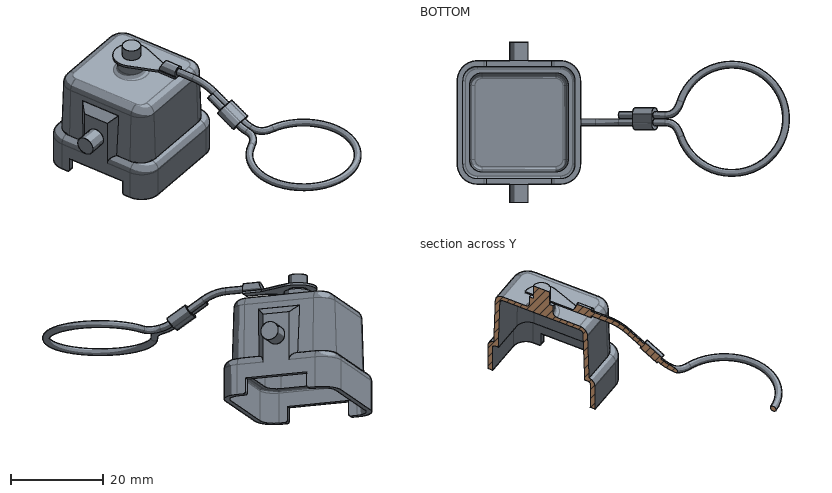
import cadquery as cq
import math

SKIRT_HALF = 13.4
SKIRT_CORNER_RADIUS = 4.4
SKIRT_HEIGHT = 8.5
SKIRT_EDGE_RADIUS = 1.8
CAP_HALF = 11.95
CAP_CORNER_RADIUS = 3.95
CAP_TOP = 22.5
CAP_DRAFT = 1.8
CAP_EDGE_RADIUS = 2.0
WALL = 1.2

NOTCH_HALF = 7.05
NOTCH_HEIGHT = 3.5
NOTCH_FOOT_RADIUS = 0.5

PAD_HALF = 3.0
PAD_TOP = 17.4
PAD_BOTTOM = SKIRT_HEIGHT - SKIRT_EDGE_RADIUS
PAD_BEVEL = 1.7
PAD_ROOT = 0.2
PIN_DIAMETER = 4.0
PIN_HEIGHT = 12.45
PIN_SPAN = 34.8

BOSS_DIAMETER = 6.0
BOSS_TOP = 25.4
BOSS_FLARE = 0.95
STUD_TOP = 29.0

TAB_DIAMETER = 8.15
TAB_RADIUS = TAB_DIAMETER / 2
TAB_BOTTOM = 26.0
TAB_THICKNESS = 0.5
FERRULE_DIAMETER = 2.5
FERRULE_START = 8.0
FERRULE_TOP_START = 8.85
FERRULE_END = 12.4
FERRULE_AXIS_Z = TAB_BOTTOM + FERRULE_DIAMETER / 2

CORD_DIAMETER = 1.5
CORD_SPACING = 1.6
BEND_START_X = 16.6
BEND_RADIUS = 10.4
SLOPE = 31
SLOPE_LENGTH = 8.8
DIP_RADIUS = 6.8
DIP_EXIT_SLOPE = 10

SLEEVE_LENGTH = 4.9
SLEEVE_FLAT_HALF = 0.95
SLEEVE_WIDTH = 4.8
SLEEVE_THICKNESS = 2.5

LENGTH = 72.05
LOOP_RADIUS = 11.75
LOOP_Z = 19.75
LOOP_X = LENGTH - SKIRT_HALF - LOOP_RADIUS - CORD_DIAMETER / 2
LOOP_END_ANGLE = 161


def hood_form(inset):
    """Skirt and cap as one form, with every outer face moved inwards by inset."""
    skirt_side = 2 * (SKIRT_HALF - inset)
    skirt_height = SKIRT_HEIGHT - inset
    skirt = (
        cq.Workplane("XY")
        .rect(skirt_side, skirt_side)
        .extrude(skirt_height)
        .edges("|Z")
        .fillet(SKIRT_CORNER_RADIUS - inset)
        .faces(">Z")
        .edges()
        .fillet(SKIRT_EDGE_RADIUS - inset)
    )
    cap_side = 2 * (CAP_HALF - inset)
    cap_outline = cq.Sketch().rect(cap_side, cap_side).vertices().fillet(CAP_CORNER_RADIUS - inset)
    cap = (
        cq.Workplane("XY", origin=(0, 0, skirt_height))
        .placeSketch(cap_outline)
        .extrude(CAP_TOP - SKIRT_HEIGHT, taper=CAP_DRAFT)
        .faces(">Z")
        .edges()
        .fillet(CAP_EDGE_RADIUS - inset)
    )
    return skirt.union(cap)


def pads():
    """Bevelled pads flush with the front and back skirt faces, widening towards the cap."""
    width = 2 * (PAD_HALF + PAD_BEVEL)
    depth = PAD_BEVEL + PAD_ROOT
    height = PAD_TOP - PAD_BOTTOM + 2 * PAD_BEVEL
    centre = (0, depth / 2 - SKIRT_HALF, (PAD_TOP + PAD_BOTTOM) / 2)
    pad = (
        cq.Workplane("XY", origin=centre)
        .box(width, depth, height)
        .faces("<Y")
        .edges()
        .chamfer(PAD_BEVEL)
    )
    return pad.union(pad.mirror("XZ"))


def locking_pins():
    pin_length = PIN_SPAN / 2 - SKIRT_HALF + WALL
    pin = (
        cq.Workplane("XZ", origin=(0, -PIN_SPAN / 2, PIN_HEIGHT))
        .circle(PIN_DIAMETER / 2)
        .extrude(-pin_length)
    )
    return pin.union(pin.mirror("XZ"))


def skirt_notch():
    """Opening from front to back whose sides flare out with a round at the feet."""
    return (
        cq.Workplane("XZ", origin=(0, SKIRT_HALF, 0))
        .moveTo(-NOTCH_HALF - NOTCH_FOOT_RADIUS, 0)
        .radiusArc((-NOTCH_HALF, NOTCH_FOOT_RADIUS), -NOTCH_FOOT_RADIUS)
        .lineTo(-NOTCH_HALF, NOTCH_HEIGHT)
        .lineTo(NOTCH_HALF, NOTCH_HEIGHT)
        .lineTo(NOTCH_HALF, NOTCH_FOOT_RADIUS)
        .radiusArc((NOTCH_HALF + NOTCH_FOOT_RADIUS, 0), -NOTCH_FOOT_RADIUS)
        .close()
        .extrude(2 * SKIRT_HALF)
    )


def hood():
    body = hood_form(0).union(pads())
    body = body.cut(hood_form(WALL)).cut(skirt_notch())
    return body.union(locking_pins())


def stud():
    """Turned profile: a flared boss with a narrower stud above it."""
    boss_radius = BOSS_DIAMETER / 2
    stud_radius = PIN_DIAMETER / 2
    return (
        cq.Workplane("XZ")
        .moveTo(0, CAP_TOP - WALL / 2)
        .lineTo(boss_radius + BOSS_FLARE, CAP_TOP - WALL / 2)
        .lineTo(boss_radius + BOSS_FLARE, CAP_TOP)
        .radiusArc((boss_radius, CAP_TOP + BOSS_FLARE), BOSS_FLARE)
        .lineTo(boss_radius, BOSS_TOP)
        .lineTo(stud_radius, BOSS_TOP)
        .lineTo(stud_radius, STUD_TOP)
        .lineTo(0, STUD_TOP)
        .close()
        .revolve(360, (0, 0, 0), (0, 1, 0))
    )


def tab():
    """Teardrop plate: a round eye with tangent sides running to the ferrule."""
    end_half = FERRULE_DIAMETER / 2
    end_distance = math.hypot(FERRULE_START, end_half)
    tangent_angle = math.atan2(end_half, FERRULE_START) + math.acos(TAB_RADIUS / end_distance)
    tangent_x = TAB_RADIUS * math.cos(tangent_angle)
    tangent_y = TAB_RADIUS * math.sin(tangent_angle)
    return (
        cq.Workplane("XY", origin=(0, 0, TAB_BOTTOM))
        .moveTo(tangent_x, tangent_y)
        .threePointArc((-TAB_RADIUS, 0), (tangent_x, -tangent_y))
        .lineTo(FERRULE_START, -end_half)
        .lineTo(FERRULE_END, -end_half)
        .lineTo(FERRULE_END, end_half)
        .lineTo(FERRULE_START, end_half)
        .close()
        .extrude(TAB_THICKNESS)
    )


def ferrule():
    """Round ferrule whose end over the tab is cut on a slant."""
    radius = FERRULE_DIAMETER / 2
    barrel = (
        cq.Workplane("YZ", origin=(FERRULE_START, 0, FERRULE_AXIS_Z))
        .circle(radius)
        .extrude(FERRULE_END - FERRULE_START)
    )
    ferrule_top = FERRULE_AXIS_Z + radius
    slant = (
        cq.Workplane("XZ")
        .moveTo(FERRULE_START, TAB_BOTTOM + TAB_THICKNESS)
        .lineTo(FERRULE_TOP_START, ferrule_top)
        .lineTo(FERRULE_START, ferrule_top)
        .close()
        .extrude(radius, both=True)
    )
    return barrel.cut(slant)


def slope_direction(angle):
    """Unit vector in the XZ plane pointing along +X and down by angle."""
    return cq.Vector(math.cos(math.radians(angle)), 0, -math.sin(math.radians(angle)))


def slope_normal(angle):
    """Unit vector in the XZ plane, square to the slope and pointing up."""
    return cq.Vector(math.sin(math.radians(angle)), 0, math.cos(math.radians(angle)))


FERRULE_EXIT = cq.Vector(FERRULE_END, 0, FERRULE_AXIS_Z)
BEND_START = cq.Vector(BEND_START_X, 0, FERRULE_AXIS_Z)
BEND_CENTRE = BEND_START - slope_normal(0) * BEND_RADIUS
BEND_MIDDLE = BEND_CENTRE + slope_normal(SLOPE / 2) * BEND_RADIUS
SLOPE_START = BEND_CENTRE + slope_normal(SLOPE) * BEND_RADIUS
SLOPE_END = SLOPE_START + slope_direction(SLOPE) * SLOPE_LENGTH
DIP_CENTRE = SLOPE_END + slope_normal(SLOPE) * DIP_RADIUS
DIP_MIDDLE = DIP_CENTRE - slope_normal((SLOPE + DIP_EXIT_SLOPE) / 2) * DIP_RADIUS
DIP_END = DIP_CENTRE - slope_normal(DIP_EXIT_SLOPE) * DIP_RADIUS
SECOND_RUN = cq.Vector(0, -CORD_SPACING, 0)


def loop_point(angle):
    turn = math.radians(angle)
    x = LOOP_X + LOOP_RADIUS * math.cos(turn)
    y = -CORD_SPACING / 2 + LOOP_RADIUS * math.sin(turn)
    return cq.Vector(x, y, LOOP_Z)


def cord():
    """One round cord swept along its whole length, ending as a stub beside the first run."""
    end_turn = math.radians(LOOP_END_ANGLE)
    flare_out = cq.Vector(math.sin(end_turn), -math.cos(end_turn), 0)
    flare_in = cq.Vector(-math.sin(end_turn), -math.cos(end_turn), 0)
    dip_exit = slope_direction(DIP_EXIT_SLOPE)
    loop_start = loop_point(LOOP_END_ANGLE)
    loop_end = loop_point(-LOOP_END_ANGLE)
    path = [
        cq.Edge.makeLine(FERRULE_EXIT, BEND_START),
        cq.Edge.makeThreePointArc(BEND_START, BEND_MIDDLE, SLOPE_START),
        cq.Edge.makeLine(SLOPE_START, SLOPE_END),
        cq.Edge.makeThreePointArc(SLOPE_END, DIP_MIDDLE, DIP_END),
        cq.Edge.makeSpline([DIP_END, loop_start], [dip_exit, flare_out]),
        cq.Edge.makeThreePointArc(loop_start, loop_point(0), loop_end),
        cq.Edge.makeSpline([loop_end, DIP_END + SECOND_RUN], [flare_in, dip_exit * -1]),
        cq.Edge.makeThreePointArc(
            DIP_END + SECOND_RUN, DIP_MIDDLE + SECOND_RUN, SLOPE_END + SECOND_RUN
        ),
        cq.Edge.makeLine(SLOPE_END + SECOND_RUN, SLOPE_START + SECOND_RUN),
    ]
    return (
        cq.Workplane("YZ", origin=FERRULE_EXIT.toTuple())
        .circle(CORD_DIAMETER / 2)
        .sweep(cq.Workplane(cq.Wire.assembleEdges(path)))
    )


def sleeve():
    """Flattened sleeve, square to the slope, ending where the straight slope ends."""
    half_width = SLEEVE_WIDTH / 2
    half_thickness = SLEEVE_THICKNESS / 2
    direction = slope_direction(SLOPE)
    start = SLOPE_END + SECOND_RUN / 2 - direction * SLEEVE_LENGTH
    plane = cq.Plane(origin=start, xDir=(0, 1, 0), normal=direction)
    return (
        cq.Workplane(plane)
        .moveTo(-SLEEVE_FLAT_HALF, -half_thickness)
        .lineTo(SLEEVE_FLAT_HALF, -half_thickness)
        .threePointArc((half_width, 0), (SLEEVE_FLAT_HALF, half_thickness))
        .lineTo(-SLEEVE_FLAT_HALF, half_thickness)
        .threePointArc((-half_width, 0), (-SLEEVE_FLAT_HALF, -half_thickness))
        .close()
        .extrude(SLEEVE_LENGTH)
    )


result = hood().union(stud()).union(tab()).union(ferrule()).union(cord()).union(sleeve())